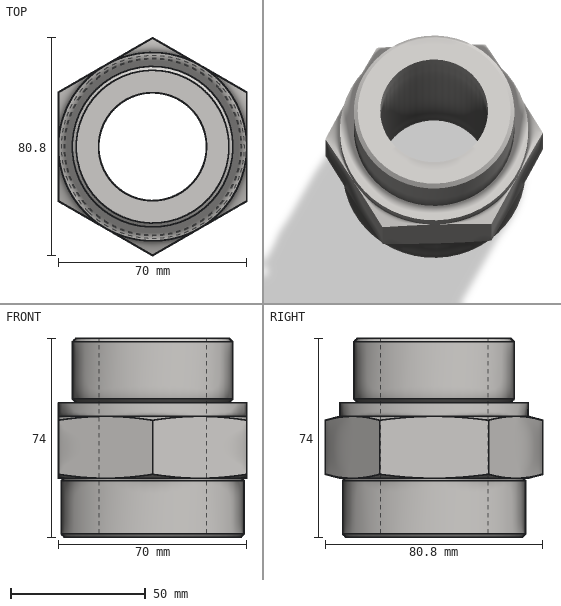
import cadquery as cq
import math

total_height = 74.0
bore_diameter = 40.0

lower_diameter = 68.0
lower_bottom_chamfer = 1.3
lower_top_chamfer = 1.0

hex_corner_width = 80.8
hex_flat_width = hex_corner_width * math.cos(math.pi / 6)
hex_bottom = 22.0
hex_top = 44.95
hex_chamfer_angle = math.radians(15)

collar_top = 50.0

upper_diameter = 59.65
upper_chamfer = 1.45


def spigot(diameter, bottom, top, bottom_chamfer, top_chamfer):
    """Cylinder along Z with a 45 degree chamfer at each end."""
    body = cq.Workplane("XY").workplane(offset=bottom).circle(diameter / 2).extrude(top - bottom)
    return body.faces("<Z").chamfer(bottom_chamfer).faces(">Z").chamfer(top_chamfer)


def chamfered_hexagon():
    """Hexagonal prism with its corners turned down by a cone at both ends."""
    prism = (
        cq.Workplane("XY")
        .workplane(offset=hex_bottom)
        .polygon(6, hex_corner_width)
        .extrude(hex_top - hex_bottom)
        .rotate((0, 0, 0), (0, 0, 1), 90)
    )
    flat_radius = hex_flat_width / 2
    corner_radius = hex_corner_width / 2
    corner_drop = (corner_radius - flat_radius) * math.tan(hex_chamfer_angle)
    turned_blank = (
        cq.Workplane("XZ")
        .moveTo(0, hex_bottom)
        .lineTo(flat_radius, hex_bottom)
        .lineTo(corner_radius, hex_bottom + corner_drop)
        .lineTo(corner_radius, hex_top - corner_drop)
        .lineTo(flat_radius, hex_top)
        .lineTo(0, hex_top)
        .close()
        .revolve(360, (0, 0, 0), (0, 1, 0))
    )
    return prism.intersect(turned_blank)


lower_spigot = spigot(lower_diameter, 0, hex_bottom, lower_bottom_chamfer, lower_top_chamfer)
upper_spigot = spigot(upper_diameter, collar_top, total_height, upper_chamfer, upper_chamfer)
collar = cq.Workplane("XY").workplane(offset=hex_top).circle(hex_flat_width / 2).extrude(collar_top - hex_top)
bore = cq.Workplane("XY").circle(bore_diameter / 2).extrude(total_height)

result = lower_spigot.union(chamfered_hexagon()).union(collar).union(upper_spigot).cut(bore)